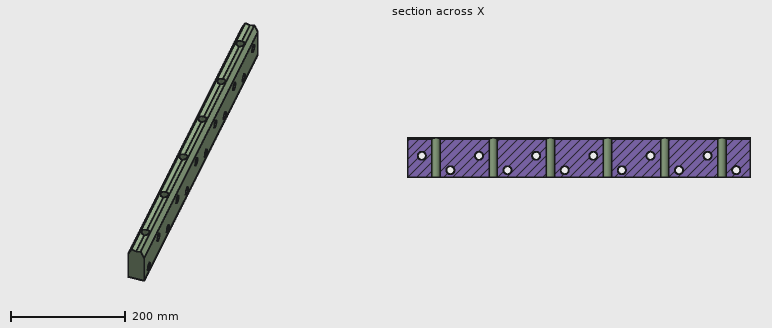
import cadquery as cq

length = 600.0
width = 30.0
height = 69.5
shoulder_height = 56.0
crest_half_width = 8.5

groove_depth = 2.5

hole_diameter = 14.0
hole_count = 6
hole_pitch = length / hole_count
lower_row_height = 12.5
upper_row_height = 38.0
row_shift = hole_pitch / 4
cut_margin = 6.0


def rail_body():
    """Extruded profile with sloped shoulders and a V-grooved top."""
    half_width = width / 2
    return (
        cq.Workplane("XZ", origin=(0, length / 2, 0))
        .moveTo(-half_width, 0)
        .lineTo(half_width, 0)
        .lineTo(half_width, shoulder_height)
        .lineTo(crest_half_width, height)
        .lineTo(0, height - groove_depth)
        .lineTo(-crest_half_width, height)
        .lineTo(-half_width, shoulder_height)
        .close()
        .extrude(length)
    )


def row_positions(shift):
    """Evenly pitched Y positions, moved along the rail by shift."""
    return [(i - (hole_count - 1) / 2) * hole_pitch + shift for i in range(hole_count)]


def cross_holes(row_height, shift):
    """Row of holes passing through the rail along X."""
    return (
        cq.Workplane("YZ", origin=(-width / 2 - cut_margin, 0, 0))
        .pushPoints([(y, row_height) for y in row_positions(shift)])
        .circle(hole_diameter / 2)
        .extrude(width + 2 * cut_margin)
    )


def vertical_holes():
    """Row of holes passing through the rail along Z."""
    return (
        cq.Workplane("XY", origin=(0, 0, -cut_margin))
        .pushPoints([(0, y) for y in row_positions(0)])
        .circle(hole_diameter / 2)
        .extrude(height + 2 * cut_margin)
    )


result = (
    rail_body()
    .cut(cross_holes(upper_row_height, row_shift))
    .cut(cross_holes(lower_row_height, -row_shift))
    .cut(vertical_holes())
)